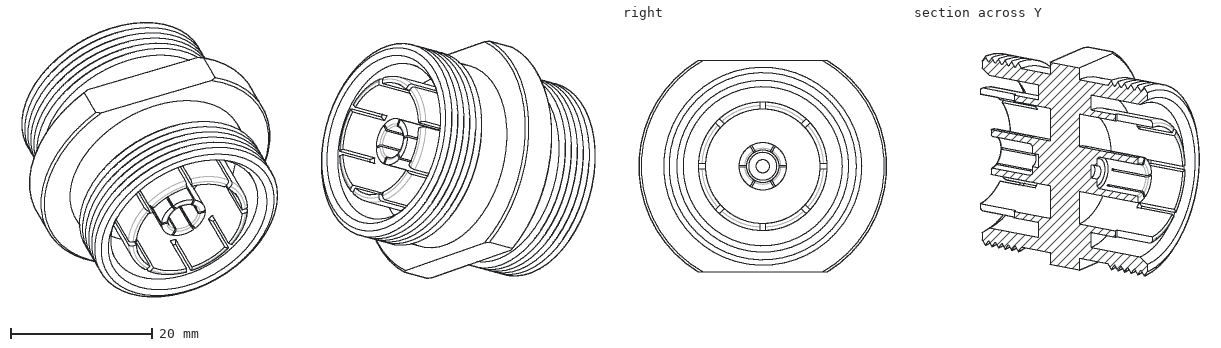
import cadquery as cq
import math

sleeve_tip_x = 14.62
body_end_x = 14.05
body_radius = 13.24

flange_radius = 17.525
flange_width = 5.0
flange_flat_height = 29.92
flange_chamfer = 0.35

thread_crest_radius = 14.0
thread_pitch = 1.12
thread_count = 6

bore_radius = 11.25
bore_chamfer_width = 0.9
bore_chamfer_depth = 1.25
socket_floor_x = 4.5

sleeve_outer_radius = 9.1
sleeve_inner_radius = 8.1
sleeve_floor_x = 2.5
sleeve_tip_round = 0.5
sleeve_slot_count = 8
sleeve_slot_width = 0.8
sleeve_slot_length = 6.0

contact_tip_x = 12.5
contact_outer_radius = 3.35
contact_bore_radius = 2.3
contact_mouth_round = 0.25
contact_bore_depth = 7.0
contact_cone_radius = 1.98
contact_slot_count = 6
contact_slot_width = 0.25
contact_slot_length = 6.0
vent_radius = 0.94
vent_depth = 1.0


def x_cylinder(radius, x_start, x_end):
    """Solid cylinder about the X axis."""
    return cq.Workplane("YZ", origin=(x_start, 0, 0)).circle(radius).extrude(x_end - x_start)


def make_barrel():
    """Half barrel with a row of V-shaped thread ridges at its open end."""
    thread_start_x = body_end_x - thread_count * thread_pitch
    outline = cq.Workplane("XY").lineTo(0, body_radius).lineTo(thread_start_x, body_radius)
    for ridge in range(thread_count):
        ridge_x = thread_start_x + ridge * thread_pitch
        outline = outline.lineTo(ridge_x + thread_pitch / 2, thread_crest_radius)
        outline = outline.lineTo(ridge_x + thread_pitch, body_radius)
    outline = outline.lineTo(body_end_x, 0).close()
    return outline.revolve(360, (0, 0, 0), (1, 0, 0))


def cut_socket(barrel):
    """Open the end of the barrel down to the socket floor."""
    socket = x_cylinder(bore_radius, socket_floor_x, body_end_x)
    mouth_cone = (
        cq.Workplane("XY")
        .moveTo(body_end_x - bore_chamfer_depth, 0)
        .lineTo(body_end_x - bore_chamfer_depth, bore_radius)
        .lineTo(body_end_x, bore_radius + bore_chamfer_width)
        .lineTo(body_end_x, 0)
        .close()
        .revolve(360, (0, 0, 0), (1, 0, 0))
    )
    return barrel.cut(socket).cut(mouth_cone)


def cut_slots(tube, count, width, x_start, x_end, reach):
    """Cut evenly spaced radial slots through the wall of a tube."""
    for index in range(count):
        slot = (
            cq.Workplane("XY")
            .box(x_end - x_start, reach, width, centered=(False, False, True))
            .translate((x_start, 0, 0))
            .rotate((0, 0, 0), (1, 0, 0), index * 360 / count)
        )
        tube = tube.cut(slot)
    return tube


def add_sleeve(barrel):
    """Add the slotted outer contact sleeve, with a rounded outer rim, and hollow it out."""
    sleeve = x_cylinder(sleeve_outer_radius, 0, sleeve_tip_x).faces(">X").edges().fillet(sleeve_tip_round)
    slot_start_x = sleeve_tip_x - sleeve_slot_length
    sleeve = cut_slots(
        sleeve, sleeve_slot_count, sleeve_slot_width, slot_start_x, sleeve_tip_x, sleeve_outer_radius
    )
    return barrel.union(sleeve).cut(x_cylinder(sleeve_inner_radius, sleeve_floor_x, sleeve_tip_x))


def make_contact():
    """Slotted centre contact with a rounded mouth, a coned bore bottom and a small end hole."""
    bore_floor_x = contact_tip_x - contact_bore_depth
    cone_start_x = bore_floor_x + contact_bore_radius - contact_cone_radius
    vent_floor_x = bore_floor_x - vent_depth
    mouth_radius = contact_bore_radius + contact_mouth_round
    round_offset = contact_mouth_round * (1 - math.sqrt(0.5))
    contact = (
        cq.Workplane("XY")
        .lineTo(0, contact_outer_radius)
        .lineTo(contact_tip_x, contact_outer_radius)
        .lineTo(contact_tip_x, mouth_radius)
        .threePointArc(
            (contact_tip_x - round_offset, contact_bore_radius + round_offset),
            (contact_tip_x - contact_mouth_round, contact_bore_radius),
        )
        .lineTo(cone_start_x, contact_bore_radius)
        .lineTo(bore_floor_x, contact_cone_radius)
        .lineTo(bore_floor_x, vent_radius)
        .lineTo(vent_floor_x, vent_radius)
        .lineTo(vent_floor_x, 0)
        .close()
        .revolve(360, (0, 0, 0), (1, 0, 0))
    )
    slot_start_x = contact_tip_x - contact_slot_length
    return cut_slots(
        contact, contact_slot_count, contact_slot_width, slot_start_x, contact_tip_x, contact_outer_radius
    )


def make_flange():
    """Central round flange, chamfered on both rims, with flats above and below."""
    disc = x_cylinder(flange_radius, -flange_width / 2, flange_width / 2)
    disc = disc.edges().chamfer(flange_chamfer)
    flats = cq.Workplane("XY").box(flange_width, 2 * flange_radius, flange_flat_height)
    return disc.intersect(flats)


half = add_sleeve(cut_socket(make_barrel())).union(make_contact())
result = half.union(half.mirror("YZ")).union(make_flange())